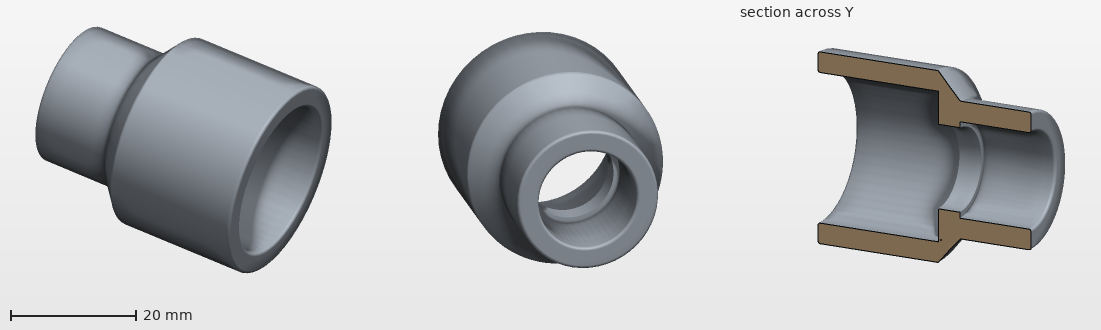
import cadquery as cq

length = 39.0
spigot_diameter = 23.0
body_diameter = 32.0
small_socket_diameter = 16.0
large_socket_diameter = 25.0
through_diameter = 14.0
cone_start = 13.0
cone_end = 17.0
edge_radius = 0.5

small_socket_depth = cone_start
large_socket_depth = length - cone_end


def cylinder(diameter, start, depth):
    """Cylinder along +X, starting at X = start."""
    plane = cq.Workplane("YZ", origin=(start, 0, 0))
    return plane.circle(diameter / 2).extrude(depth)


outer = (
    cq.Workplane("XY")
    .polyline([
        (0, 0),
        (0, spigot_diameter / 2),
        (cone_start, spigot_diameter / 2),
        (cone_end, body_diameter / 2),
        (length, body_diameter / 2),
        (length, 0),
    ])
    .close()
    .revolve(360, (0, 0, 0), (1, 0, 0))
    .edges("%CIRCLE")
    .fillet(edge_radius)
)

bore = (
    cylinder(through_diameter, 0, length)
    .union(cylinder(small_socket_diameter, 0, small_socket_depth))
    .union(cylinder(large_socket_diameter, cone_end, large_socket_depth))
)
hollow = outer.cut(bore)

mouth = cq.selectors.RadiusNthSelector(0)
result = hollow
for end_face in ("<X", ">X"):
    result = result.faces(end_face).edges(mouth).fillet(edge_radius)